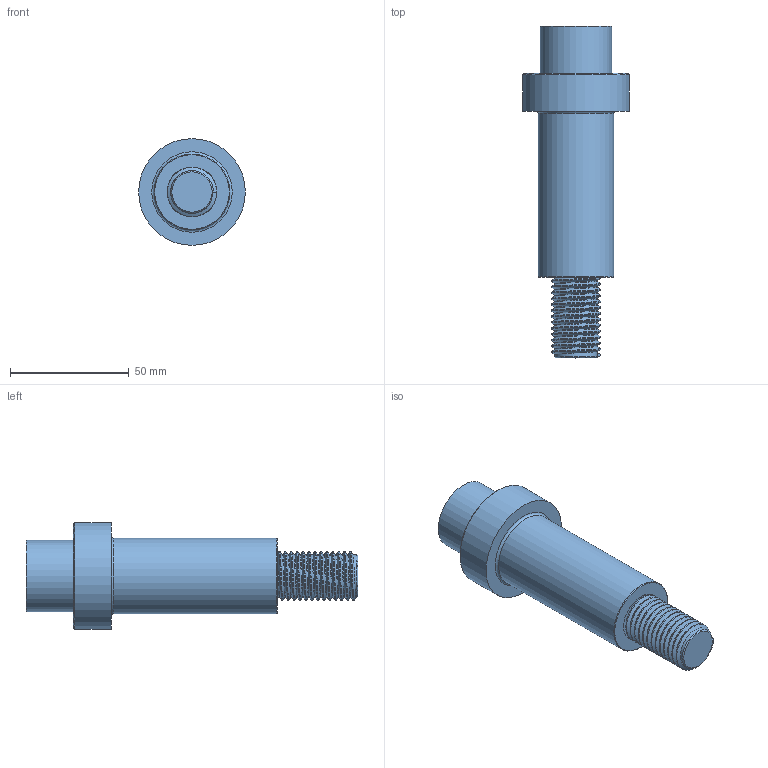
import cadquery as cq

total_length = 140.0

flange_diameter = 45.0
flange_width = 16.0
flange_chamfer = 0.5
flange_fillet = 1.0
shank_diameter = 32.0
shank_length = 70.0
shank_chamfer = 0.25

head_diameter = 30.0
head_length = 20.0
rod_diameter = 21.0
core_diameter = 18.0
core_chamfer = 0.5

thread_diameter = 20.8
thread_pitch = 2.5
thread_turns = 13
ridge_base_width = 2.0
ridge_crest_width = 0.4
ridge_embed = 0.3
ridge_end_gap = 1.25

sleeve_end_y = 0.0
flange_front_y = sleeve_end_y + shank_length
flange_back_y = flange_front_y + flange_width
tip_y = flange_back_y + head_length - total_length
core_length = sleeve_end_y - tip_y
sleeve_length = shank_length + flange_width


def cylinder(start_y, length, diameter):
    """Cylinder about the Y axis, running towards +Y from start_y."""
    plane = cq.Workplane("XZ", origin=(0, start_y, 0))
    return plane.circle(diameter / 2).extrude(-length)


def make_ridge():
    """Right-handed helical ridge, ending at the +X side near the tip."""
    ridge_length = thread_turns * thread_pitch
    core_radius = core_diameter / 2
    crest_radius = thread_diameter / 2
    root_radius = core_radius - ridge_embed
    flank_slope = (ridge_base_width - ridge_crest_width) / 2 / (crest_radius - core_radius)
    half_crest = ridge_crest_width / 2
    half_root = ridge_base_width / 2 + ridge_embed * flank_slope
    helix = cq.Wire.makeHelix(thread_pitch, ridge_length, core_radius)
    profile = cq.Workplane("XZ").polyline([
        (root_radius, -half_root),
        (crest_radius, -half_crest),
        (crest_radius, half_crest),
        (root_radius, half_root),
    ]).close()
    ridge = profile.sweep(cq.Workplane(obj=helix), isFrenet=True)
    ridge = ridge.rotate((0, 0, 0), (1, 0, 0), 90)
    return ridge.translate((0, tip_y + ridge_end_gap + ridge_length, 0))


def make_sleeve():
    """Flanged bush with a fillet under the flange and a plain through bore."""
    flange = cylinder(flange_front_y, flange_width, flange_diameter)
    flange = flange.faces(">Y").chamfer(flange_chamfer)
    shank = cylinder(sleeve_end_y, shank_length, shank_diameter)
    shank = shank.faces("<Y").chamfer(shank_chamfer)
    sleeve = flange.union(shank)
    corner_region = cq.selectors.BoxSelector(
        (-shank_diameter, flange_front_y - flange_fillet, -shank_diameter),
        (shank_diameter, flange_front_y + flange_fillet, shank_diameter),
    )
    corner_circles = sleeve.edges(corner_region).edges("%CIRCLE")
    inner_corner = corner_circles.edges(cq.selectors.RadiusNthSelector(0))
    sleeve = inner_corner.fillet(flange_fillet)
    return sleeve.cut(cylinder(sleeve_end_y, sleeve_length, rod_diameter))


def make_bolt():
    """Head seated on the flange, rod flush with the sleeve end, and threaded core."""
    head = cylinder(flange_back_y, head_length, head_diameter)
    rod = cylinder(sleeve_end_y, sleeve_length, rod_diameter)
    core = cylinder(tip_y, core_length, core_diameter)
    core = core.faces("<Y").chamfer(core_chamfer)
    return head.union(rod).union(core).union(make_ridge())


sleeve = make_sleeve().solids()
bolt = make_bolt().solids()

result = cq.Compound.makeCompound([sleeve.val(), bolt.val()])